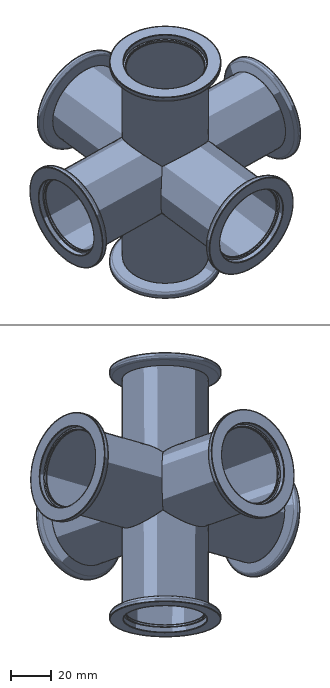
import cadquery as cq
import math

overall_length = 130.0
half_length = overall_length / 2

tube_outer_radius = 21.3
tube_bore_radius = 19.4

flange_radius = 27.5
flange_length = 4.7
back_slope = math.radians(15)
rim_corner_radius = 1.7
face_chamfer = 0.3

recess_radius = 20.7
recess_depth = 2.7
flange_bore_radius = 19.8
tube_setback = 0.9

tube_end = half_length - recess_depth - tube_setback
flange_back = half_length - flange_length

branch_directions = [
    (sign * axis[0], sign * axis[1], sign * axis[2])
    for axis in ((1, 0, 0), (0, 1, 0), (0, 0, 1))
    for sign in (1, -1)
]


def branch_plane(direction):
    """Plane at the centre of the cross whose normal runs along a branch."""
    x_direction = (direction[1], direction[2], direction[0])
    return cq.Plane(origin=(0, 0, 0), xDir=x_direction, normal=direction)


def branch_cylinder(direction, radius, length):
    """Solid cylinder from the centre of the cross out along one branch."""
    return cq.Workplane(branch_plane(direction)).circle(radius).extrude(length)


def make_cross():
    """Six tubes that meet at the centre, with open bores."""
    cross = cq.Workplane("XY")
    for direction in branch_directions:
        cross = cross.union(branch_cylinder(direction, tube_outer_radius, tube_end))
    for direction in branch_directions:
        cross = cross.cut(branch_cylinder(direction, tube_bore_radius, half_length))
    return cross


def make_flange(direction):
    """Clamp flange with a conical back, fitted over the end of one tube."""
    corner_angle = math.pi / 2 - back_slope
    corner_centre_radius = flange_radius - rim_corner_radius
    cone_top_radius = corner_centre_radius + rim_corner_radius * math.cos(corner_angle)
    cone_top = flange_back + (cone_top_radius - tube_outer_radius) * math.tan(back_slope)
    corner_centre = cone_top + rim_corner_radius * math.sin(corner_angle)
    corner_middle = (
        corner_centre_radius + rim_corner_radius * math.cos(corner_angle / 2),
        corner_centre - rim_corner_radius * math.sin(corner_angle / 2),
    )

    section = (
        cq.Workplane("XY")
        .moveTo(tube_outer_radius, flange_back)
        .lineTo(cone_top_radius, cone_top)
        .threePointArc(corner_middle, (flange_radius, corner_centre))
        .lineTo(flange_radius, half_length - face_chamfer)
        .lineTo(flange_radius - face_chamfer, half_length)
        .lineTo(recess_radius + face_chamfer, half_length)
        .lineTo(recess_radius, half_length - face_chamfer)
        .lineTo(recess_radius, half_length - recess_depth)
        .lineTo(flange_bore_radius, half_length - recess_depth)
        .lineTo(flange_bore_radius, tube_end)
        .lineTo(tube_outer_radius, tube_end)
        .close()
    )
    flange = section.revolve(360, (0, 0, 0), (0, 1, 0)).val()
    upright = flange.rotate(cq.Vector(0, 0, 0), cq.Vector(1, 0, 0), 90)
    return upright.moved(cq.Location(branch_plane(direction)))


cross = make_cross()
flanges = [make_flange(direction) for direction in branch_directions]

result = cq.Compound.makeCompound([cross.val(), *flanges])